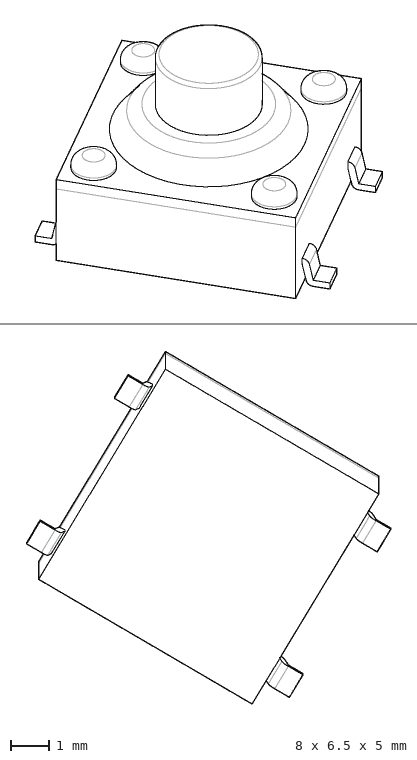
import cadquery as cq
import math

BODY_SIDE = 6.5
HOUSING_HEIGHT = 2.3
COVER_THICKNESS = 0.3
COVER_TOP = HOUSING_HEIGHT + COVER_THICKNESS

COLLAR_BASE_RADIUS = 2.6
COLLAR_TOP_RADIUS = 2.0
COLLAR_HEIGHT = 0.8
COLLAR_FILLET = 0.5

BUTTON_RADIUS = 1.4
BUTTON_TOP = 5.0
BUTTON_FILLET = 0.1

RIVET_RADIUS = 0.6
RIVET_HEIGHT = 0.38
RIVET_FILLET = 0.3
RIVET_OFFSET = 2.45

LEAD_SPAN = 8.0
LEAD_WIDTH = 0.7
LEAD_THICKNESS = 0.2
LEAD_OFFSET_Y = 2.25
LEAD_TOP = 0.85
FOOT_LENGTH = 0.45


def make_housing():
    return cq.Workplane("XY").box(BODY_SIDE, BODY_SIDE, HOUSING_HEIGHT, centered=(True, True, False))


def make_cover():
    plate = cq.Workplane("XY").box(BODY_SIDE, BODY_SIDE, COVER_THICKNESS, centered=(True, True, False))
    return plate.translate((0, 0, HOUSING_HEIGHT))


def make_collar():
    cone = cq.Workplane(cq.Solid.makeCone(COLLAR_BASE_RADIUS, COLLAR_TOP_RADIUS, COLLAR_HEIGHT))
    return cone.faces(">Z").edges().fillet(COLLAR_FILLET).translate((0, 0, COVER_TOP))


def make_button():
    button = cq.Workplane("XY").circle(BUTTON_RADIUS).extrude(BUTTON_TOP - COVER_TOP)
    return button.faces(">Z").edges().fillet(BUTTON_FILLET).translate((0, 0, COVER_TOP))


def make_rivet(x, y):
    head = cq.Workplane("XY").circle(RIVET_RADIUS).extrude(RIVET_HEIGHT)
    return head.faces(">Z").edges().fillet(RIVET_FILLET).translate((x, y, COVER_TOP))


def make_lead(side, y):
    """Lead on the -X (side = -1) or +X (side = 1) wall, centred at y."""
    tip_x = LEAD_SPAN / 2
    foot_x, foot_z = tip_x - FOOT_LENGTH, LEAD_THICKNESS
    wall_x, shoulder_z = BODY_SIDE / 2, LEAD_TOP - LEAD_THICKNESS
    lean = math.atan2(foot_x - wall_x, shoulder_z - foot_z)
    reach = math.hypot(foot_x - wall_x, shoulder_z - foot_z)
    web_tilt = lean - math.asin(LEAD_THICKNESS / reach)

    def offset(angle):
        return LEAD_THICKNESS * math.cos(angle), LEAD_THICKNESS * math.sin(angle)

    def shoulder(angle):
        dx, dz = offset(angle)
        return side * (wall_x + dx), shoulder_z + dz

    def heel(angle):
        dx, dz = offset(angle)
        return side * (foot_x - dx), foot_z - dz

    mid_bend = (web_tilt + math.pi / 2) / 2
    profile = (
        cq.Workplane("XZ", origin=(0, y + LEAD_WIDTH / 2, 0))
        .moveTo(side * tip_x, 0)
        .lineTo(side * tip_x, LEAD_THICKNESS)
        .lineTo(side * foot_x, foot_z)
        .lineTo(*shoulder(web_tilt))
        .threePointArc(shoulder(mid_bend), shoulder(math.pi / 2))
        .lineTo(side * wall_x, shoulder_z)
        .lineTo(*heel(web_tilt))
        .threePointArc(heel(mid_bend), heel(math.pi / 2))
        .close()
    )
    return profile.extrude(LEAD_WIDTH)


result = make_housing().union(make_cover(), clean=False)
result = result.union(make_collar(), clean=False)
result = result.union(make_button(), clean=False)

for sign_x in (-1, 1):
    for sign_y in (-1, 1):
        rivet = make_rivet(sign_x * RIVET_OFFSET, sign_y * RIVET_OFFSET)
        lead = make_lead(sign_x, sign_y * LEAD_OFFSET_Y)
        result = result.union(rivet, clean=False).union(lead, clean=False)